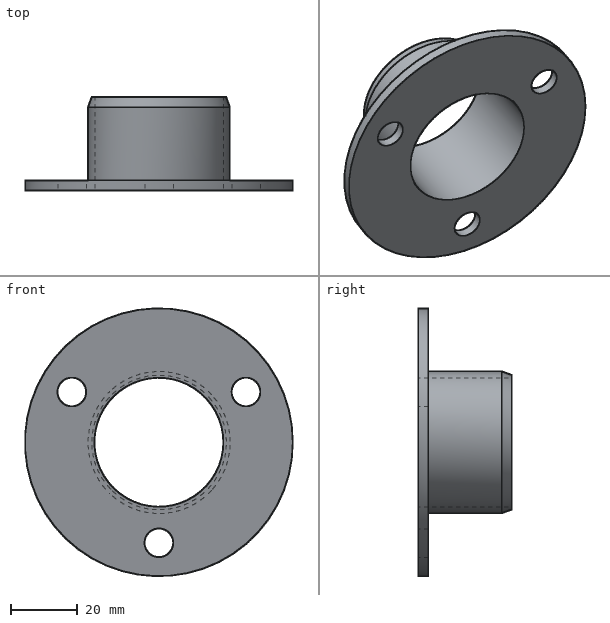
import cadquery as cq
import math

flange_diameter = 80.0
flange_thickness = 3.0

overall_depth = 28.0
sleeve_diameter = 42.4
wall_thickness = 2.0
bore_diameter = sleeve_diameter - 2 * wall_thickness

taper_length = 3.0
taper_angle = 20.0
taper_depth = taper_length * math.tan(math.radians(taper_angle))

hole_count = 3
hole_diameter = 8.5
hole_circle_radius = 30.0
first_hole_angle = -90.0


def make_body():
    """Flange, sleeve, taper and bore as one profile revolved about the Y axis."""
    bore_radius = bore_diameter / 2
    flange_radius = flange_diameter / 2
    sleeve_radius = sleeve_diameter / 2
    profile = (
        cq.Workplane("XY")
        .moveTo(bore_radius, 0)
        .lineTo(flange_radius, 0)
        .lineTo(flange_radius, flange_thickness)
        .lineTo(sleeve_radius, flange_thickness)
        .lineTo(sleeve_radius, overall_depth - taper_length)
        .lineTo(sleeve_radius - taper_depth, overall_depth)
        .lineTo(bore_radius, overall_depth)
        .close()
    )
    return profile.revolve(360, (0, 0, 0), (0, 1, 0))


def make_mounting_holes():
    """Cylinders that cut the mounting holes through the flange."""
    return (
        cq.Workplane("XZ")
        .polarArray(hole_circle_radius, first_hole_angle, 360, hole_count)
        .circle(hole_diameter / 2)
        .extrude(-flange_thickness)
    )


result = make_body().cut(make_mounting_holes())